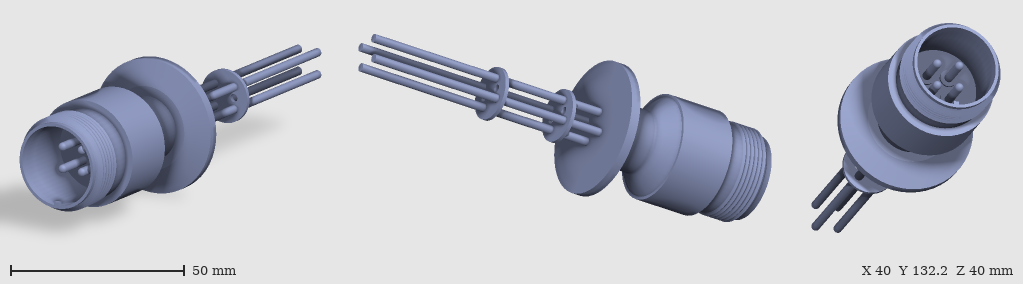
import cadquery as cq
import math

TOTAL_LENGTH = 132.2

LIP_RADIUS = 12.7
LIP_LENGTH = 1.6
THREAD_CREST_RADIUS = 14.1
THREAD_ROOT_RADIUS = 13.5
FIRST_CREST = 3.0
CREST_COUNT = 6
CREST_SPAN = 6.9
THREAD_PITCH = CREST_SPAN / (CREST_COUNT - 1)
BODY_FRONT = 15.9
BODY_RADIUS = 15.9
BODY_REAR = 32.8
CONE_LARGE_RADIUS = 14.9
CONE_ANGLE = math.radians(45)
NECK_RADIUS = 9.5
NECK_FILLET = 1.2
FLANGE_FRONT = 48.2
FLANGE_FACE_RADIUS = 12.4
FLANGE_RIM_FRONT = 50.6
FLANGE_RADIUS = 20.0
FLANGE_REAR = 53.5

SOCKET_RADIUS = 11.8
SOCKET_FLOOR = 19.8

KEY_WIDTH = 1.6
KEY_INNER_REACH = 10.8
KEY_OUTER_REACH = 12.2
KEY_LENGTH = 1.5

PIN_OFFSET = 3.3
PIN_RADIUS = 1.25
PIN_TIP = 7.1
INSULATOR_RADIUS = 2.5
INSULATOR_HEIGHT = 0.7

SPACER_FRONTS = (64.8, 88.1)
SPACER_THICKNESS = 1.2
SPACER_RADIUS = 7.9
VENT_OFFSET = PIN_OFFSET
VENT_RADIUS = 1.2


def cylinder(radius, start, end, x=0.0, z=0.0):
    """Cylinder along Y between two stations."""
    axis_start = cq.Vector(x, start, z)
    return cq.Workplane(obj=cq.Solid.makeCylinder(radius, end - start, axis_start, cq.Vector(0, 1, 0)))


def make_shell():
    """Revolved outer body with its ring thread, cone, neck and flange, bored at the front."""
    front_outline = [(0, 0), (LIP_RADIUS, 0), (LIP_RADIUS, LIP_LENGTH)]
    for index in range(CREST_COUNT):
        crest = FIRST_CREST + index * THREAD_PITCH
        front_outline.append((THREAD_CREST_RADIUS, crest))
        front_outline.append((THREAD_ROOT_RADIUS, crest + THREAD_PITCH / 2))

    corner_y = BODY_REAR + (CONE_LARGE_RADIUS - NECK_RADIUS) / math.tan(CONE_ANGLE)
    fillet_y = corner_y + NECK_FILLET * math.tan(CONE_ANGLE / 2)
    fillet_points = []
    for angle in (CONE_ANGLE, CONE_ANGLE / 2, 0):
        fillet_x = NECK_RADIUS + NECK_FILLET * (1 - math.cos(angle))
        fillet_points.append((fillet_x, fillet_y - NECK_FILLET * math.sin(angle)))
    cone_end, fillet_middle, neck_start = fillet_points

    middle_outline = [
        (THREAD_ROOT_RADIUS, BODY_FRONT),
        (BODY_RADIUS, BODY_FRONT),
        (BODY_RADIUS, BODY_REAR),
        (CONE_LARGE_RADIUS, BODY_REAR),
        cone_end,
    ]
    rear_outline = [
        (NECK_RADIUS, FLANGE_FRONT),
        (FLANGE_FACE_RADIUS, FLANGE_FRONT),
        (FLANGE_RADIUS, FLANGE_RIM_FRONT),
        (FLANGE_RADIUS, FLANGE_REAR),
        (0, FLANGE_REAR),
    ]
    outline = (
        cq.Workplane("XY")
        .polyline(front_outline + middle_outline)
        .threePointArc(fillet_middle, neck_start)
        .polyline(rear_outline, includeCurrent=True)
        .close()
    )
    body = outline.revolve(360, (0, 0, 0), (0, 1, 0))
    return body.cut(cylinder(SOCKET_RADIUS, 0, SOCKET_FLOOR))


def make_key():
    """Small block on the socket wall at the -Z side."""
    height = KEY_OUTER_REACH - KEY_INNER_REACH
    block = cq.Workplane("XY").box(KEY_WIDTH, KEY_LENGTH, height, centered=(True, False, False))
    return block.translate((0, 0, -KEY_OUTER_REACH))


def make_conductor(x, z):
    """Round-tipped conductor running the whole length, with its insulator on the socket floor."""
    tip_centre = PIN_TIP + PIN_RADIUS
    rod = cylinder(PIN_RADIUS, tip_centre, TOTAL_LENGTH, x, z)
    tip = cq.Workplane("XY").sphere(PIN_RADIUS).translate((x, tip_centre, z))
    insulator = cylinder(INSULATOR_RADIUS, SOCKET_FLOOR - INSULATOR_HEIGHT, SOCKET_FLOOR, x, z)
    return rod.union(tip).union(insulator)


def make_spacer(front):
    """Thin disc with two vent holes between the conductors."""
    rear = front + SPACER_THICKNESS
    disc = cylinder(SPACER_RADIUS, front, rear)
    for x in (-VENT_OFFSET, VENT_OFFSET):
        disc = disc.cut(cylinder(VENT_RADIUS, front, rear, x))
    return disc


result = make_shell().union(make_key())
for pin_x in (-PIN_OFFSET, PIN_OFFSET):
    for pin_z in (-PIN_OFFSET, PIN_OFFSET):
        result = result.union(make_conductor(pin_x, pin_z))
for spacer_front in SPACER_FRONTS:
    result = result.union(make_spacer(spacer_front))